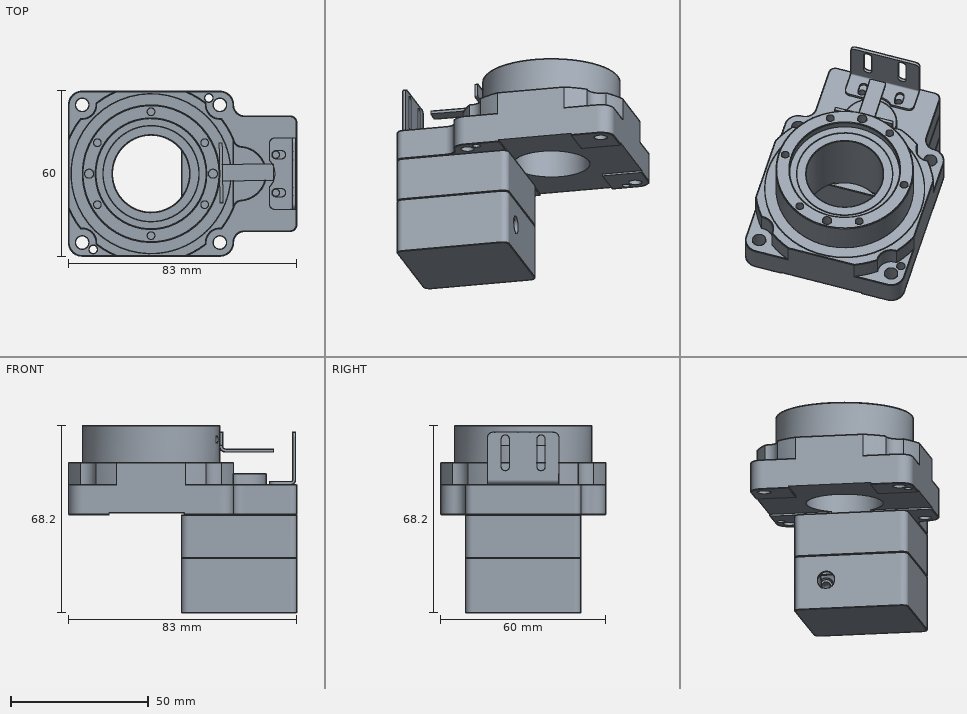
import cadquery as cq
import math


FLANGE_SIDE = 60.0
HALF_FLANGE = FLANGE_SIDE / 2
FLANGE_TOP = 19.0
STEP_TOP = 11.0
CORNER_RADIUS = 5.0
SHOULDER_RADIUS = 32.5
EDGE_BREAK = 0.25
JOINT_OVERLAP = 1.0
TANGENT_GAP = 0.001

MOUNT_PITCH = 50.0
MOUNT_DIAMETER = 4.8
MOUNT_RELIEF_RADIUS = 5.0
DOWEL_DIAMETER = 3.0
DOWEL_X = 21.0
DOWEL_Y = 27.5

RELIEF_HALF_WIDTH = 15.2
RELIEF_END_X = 12.0
RELIEF_DEPTH = 0.7

DRIVE_SIDE = 42.0
DRIVE_X = 32.0
DRIVE_CORNER_RADIUS = 2.5
DRIVE_JOINT_Z = -15.7
DRIVE_BOTTOM_Z = -35.7
EXTENSION_END_X = DRIVE_X + DRIVE_SIDE / 2
INNER_CORNER_RADIUS = 4.0

CABLE_Y = 9.0
CABLE_Z = -24.9
CABLE_ENTRY_DIAMETER = 6.4
CABLE_LEDGE_DEPTH = 1.0
CABLE_LEDGE_OFFSET = 2.3
CABLE_FUNNEL_DEPTH = 2.0
CABLE_ENTRY_DEPTH = 3.0
CABLE_BORE_Y = CABLE_Y + 0.6
CABLE_BORE_Z = CABLE_Z - 1.5
CABLE_BORE_DIAMETER = 3.1
CABLE_BORE_DEPTH = 8.0
CABLE_FUNNEL_RADIUS = 5.0
CABLE_SEAT_RADIUS = 2.9
CABLE_SEAT_FLOOR_RADIUS = 2.4
CABLE_SEAT_DEPTH = 0.5

COVER_RADIUS = 9.9
COVER_TOP = 15.0
COVER_FILLET = 3.0

RING_RADIUS = 25.0
RING_TOP = 32.5
RING_EDGE_BREAK = 0.3
BORE_RADIUS = 14.0
BORE_EDGE_BREAK = 0.2
RECESS_RADIUS = 20.0
RECESS_DEPTH = 3.0
SEAM_WIDTH = 0.1
SEAM_DEPTH = 0.2
HUB_SEAM_RADIUS = 17.4
FLANGE_SEAM_RADIUS = 29.0

RING_HOLE_CIRCLE = 22.5
RING_SCREW_COUNT = 6
RING_SCREW_START_ANGLE = 30
RING_SCREW_DIAMETER = 2.8
RING_PIN_COUNT = 2
RING_PIN_DIAMETER = 3.3
RING_HOLE_DEPTH = 6.0

SHEET = 1.1
BRACKET_WIDTH = 26.0
BRACKET_START_X = 43.0
BRACKET_END_X = 52.5
BRACKET_TOP = 30.0
BRACKET_CORNER = 2.0
BEND_INNER_RADIUS = 0.5
BASE_SLOT_X = 46.4
BASE_SLOT_Y = 6.9
BASE_SLOT_LENGTH = 5.0
BASE_SLOT_WIDTH = 3.0
BASE_SCREW_X = 45.35
BASE_SCREW_DIAMETER = 2.6
BASE_SCREW_DEPTH = 6.0
PLATE_SLOT_Y = 6.5
PLATE_SLOT_WIDTH = 3.0
PLATE_SLOT_TOP = 29.0
PLATE_SLOT_BOTTOM = 16.0
NOTCH_RADIUS = 6.9
NOTCH_BOTTOM_X = 45.0

FLAG_TURN = 0.75
FLAG_FACE_X = 24.9
FLAG_WIDTH = 21.8
FLAG_TOP = 30.0
FLAG_BOTTOM = 25.1
FLAG_CORNER = 0.5
ARM_WIDTH = 6.0
ARM_BEND_INNER_RADIUS = 1.1
ARM_BOTTOM = 22.8
ARM_END_X = 44.5
FLAG_SCREW_Y = 7.5
FLAG_SCREW_Z = 27.4
FLAG_SCREW_DIAMETER = 2.6
FLAG_SCREW_DEPTH = 5.0


def cylinder(radius, bottom, top):
    return cq.Workplane("XY").workplane(offset=bottom).circle(radius).extrude(top - bottom)


def cylinder_along_x(radius, start, length, y, z):
    return cq.Workplane("YZ", origin=(start, y, z)).circle(radius).extrude(length)


def rounded_block(size_x, size_y, center_x, bottom, top, radius):
    block = cq.Workplane("XY").workplane(offset=bottom).center(center_x, 0)
    return block.rect(size_x, size_y).extrude(top - bottom).edges("|Z").fillet(radius)


def seam_groove(radius, top):
    return cylinder(radius + SEAM_WIDTH, top - SEAM_DEPTH, top).cut(
        cylinder(radius, top - SEAM_DEPTH, top)
    )


def make_base():
    """Lower plate: the square flange and the narrower extension above the drive."""
    half_ext = DRIVE_SIDE / 2
    base = (
        cq.Workplane("XY")
        .moveTo(-HALF_FLANGE, -HALF_FLANGE)
        .lineTo(HALF_FLANGE, -HALF_FLANGE)
        .lineTo(HALF_FLANGE, -half_ext)
        .lineTo(EXTENSION_END_X, -half_ext)
        .lineTo(EXTENSION_END_X, half_ext)
        .lineTo(HALF_FLANGE, half_ext)
        .lineTo(HALF_FLANGE, HALF_FLANGE)
        .lineTo(-HALF_FLANGE, HALF_FLANGE)
        .close()
        .extrude(STEP_TOP)
    )
    for side in (-1, 1):
        inner = cq.selectors.NearestToPointSelector((HALF_FLANGE, side * half_ext, STEP_TOP / 2))
        base = base.edges(inner).fillet(INNER_CORNER_RADIUS - TANGENT_GAP)
    base = base.edges("|Z and >X").fillet(DRIVE_CORNER_RADIUS)
    for x in (-HALF_FLANGE, HALF_FLANGE):
        for y in (-HALF_FLANGE, HALF_FLANGE):
            corner = cq.selectors.NearestToPointSelector((x, y, STEP_TOP / 2))
            base = base.edges(corner).fillet(CORNER_RADIUS - TANGENT_GAP)
    return base.faces("<Z or >Z").edges().chamfer(EDGE_BREAK)


def make_shoulder():
    """Upper part of the flange: square and circle intersected, scooped at the screws."""
    foot = STEP_TOP - JOINT_OVERLAP
    height = FLANGE_TOP - foot
    shoulder = (
        cq.Workplane("XY").workplane(offset=foot)
        .rect(FLANGE_SIDE, FLANGE_SIDE).extrude(height)
        .intersect(cylinder(SHOULDER_RADIUS, foot, FLANGE_TOP))
    )
    scoops = (
        cq.Workplane("XY").workplane(offset=foot)
        .rect(MOUNT_PITCH, MOUNT_PITCH, forConstruction=True).vertices()
        .circle(MOUNT_RELIEF_RADIUS).extrude(height)
    )
    return shoulder.cut(scoops).faces(">Z").edges().chamfer(EDGE_BREAK)


def make_drive():
    """Two stacked square housings with broken edges at every joint."""
    drive = None
    for bottom, top in ((DRIVE_BOTTOM_Z, DRIVE_JOINT_Z), (DRIVE_JOINT_Z, 0)):
        stage = rounded_block(DRIVE_SIDE, DRIVE_SIDE, DRIVE_X, bottom, top, DRIVE_CORNER_RADIUS)
        stage = stage.faces("<Z or >Z").edges().chamfer(EDGE_BREAK)
        drive = stage if drive is None else drive.union(stage)
    return drive.cut(make_cable_entry())


def make_cable_entry():
    """Stepped cable opening in the side of the lower housing."""
    face_x = DRIVE_X - DRIVE_SIDE / 2
    radius = CABLE_ENTRY_DIAMETER / 2
    mouth = cylinder_along_x(radius, face_x, CABLE_LEDGE_DEPTH, CABLE_Y, CABLE_Z)
    reach = CABLE_BORE_DEPTH + CABLE_BORE_DIAMETER
    shaft = cylinder_along_x(radius, face_x, reach, CABLE_Y, CABLE_Z)
    side = CABLE_ENTRY_DIAMETER
    window = cq.Workplane("XY").box(reach, side, side, centered=False).translate(
        (face_x, CABLE_Y + CABLE_LEDGE_OFFSET - side, CABLE_Z + CABLE_LEDGE_OFFSET - side)
    )
    throat = shaft.intersect(window)
    seat = (
        cq.Workplane("XY")
        .moveTo(face_x, 0)
        .lineTo(face_x, CABLE_FUNNEL_RADIUS)
        .lineTo(face_x + CABLE_FUNNEL_DEPTH, CABLE_FUNNEL_RADIUS)
        .lineTo(face_x + CABLE_ENTRY_DEPTH, CABLE_SEAT_RADIUS)
        .lineTo(face_x + CABLE_ENTRY_DEPTH + CABLE_SEAT_DEPTH, CABLE_SEAT_FLOOR_RADIUS)
        .lineTo(face_x + CABLE_ENTRY_DEPTH + CABLE_SEAT_DEPTH, 0)
        .close()
        .revolve(360, (0, 0, 0), (1, 0, 0))
        .translate((0, CABLE_BORE_Y, CABLE_BORE_Z))
    )
    bore_radius = CABLE_BORE_DIAMETER / 2
    bore = cylinder_along_x(bore_radius, face_x, CABLE_BORE_DEPTH, CABLE_BORE_Y, CABLE_BORE_Z)
    bore_end = cq.Workplane("XY").sphere(bore_radius).translate(
        (face_x + CABLE_BORE_DEPTH, CABLE_BORE_Y, CABLE_BORE_Z)
    )
    return mouth.union(throat.intersect(seat)).union(throat.intersect(bore.union(bore_end)))


def make_cover():
    """Round gear cover that blends into the flange side through concave fillets."""
    fillet_x = HALF_FLANGE + COVER_FILLET
    reach = COVER_RADIUS + COVER_FILLET
    fillet_y = math.sqrt(reach**2 - (fillet_x - DRIVE_X) ** 2)
    tangent_x = DRIVE_X + (fillet_x - DRIVE_X) * COVER_RADIUS / reach
    tangent_y = fillet_y * COVER_RADIUS / reach
    start_angle = math.pi
    end_angle = math.atan2(tangent_y - fillet_y, tangent_x - fillet_x) % (2 * math.pi)
    middle_angle = (start_angle + end_angle) / 2
    middle_x = fillet_x + COVER_FILLET * math.cos(middle_angle)
    middle_y = fillet_y + COVER_FILLET * math.sin(middle_angle)
    root_x = HALF_FLANGE - JOINT_OVERLAP
    cover = (
        cq.Workplane("XY")
        .workplane(offset=STEP_TOP - JOINT_OVERLAP)
        .moveTo(root_x, -fillet_y)
        .lineTo(HALF_FLANGE, -fillet_y)
        .threePointArc((middle_x, -middle_y), (tangent_x, -tangent_y))
        .threePointArc((DRIVE_X + COVER_RADIUS, 0), (tangent_x, tangent_y))
        .threePointArc((middle_x, middle_y), (HALF_FLANGE, fillet_y))
        .lineTo(root_x, fillet_y)
        .close()
        .extrude(COVER_TOP - STEP_TOP + JOINT_OVERLAP)
    )
    return cover.faces(">Z").edges("not <X").edges("not |X").edges("not |Y").chamfer(EDGE_BREAK)


def make_ring():
    """Rotating ring standing on the flange, with a round recess in its top."""
    ring = cylinder(RING_RADIUS, STEP_TOP, RING_TOP)
    ring = ring.cut(cylinder(RECESS_RADIUS, RING_TOP - RECESS_DEPTH, RING_TOP))
    return ring.faces(">Z").edges().chamfer(RING_EDGE_BREAK)


def make_central_bore():
    """Through bore with a small chamfer at its upper mouth; the drive closes part of its foot."""
    mouth_z = RING_TOP - RECESS_DEPTH
    wide = BORE_RADIUS + BORE_EDGE_BREAK
    return (
        cq.Workplane("XZ")
        .moveTo(0, 0)
        .lineTo(BORE_RADIUS, 0)
        .lineTo(BORE_RADIUS, mouth_z - BORE_EDGE_BREAK)
        .lineTo(wide, mouth_z)
        .lineTo(0, mouth_z)
        .close()
        .revolve(360, (0, 0, 0), (0, 1, 0))
    )


def make_flange_holes():
    """Four mounting holes and two dowel holes through the corner pads."""
    mounts = (
        cq.Workplane("XY").rect(MOUNT_PITCH, MOUNT_PITCH, forConstruction=True).vertices()
        .circle(MOUNT_DIAMETER / 2).extrude(STEP_TOP)
    )
    dowels = (
        cq.Workplane("XY").pushPoints([(DOWEL_X, DOWEL_Y), (-DOWEL_X, -DOWEL_Y)])
        .circle(DOWEL_DIAMETER / 2).extrude(STEP_TOP)
    )
    return mounts.union(dowels)


def make_ring_holes():
    """Six screw holes and two pin holes, all on one circle in the ring face."""
    face = cq.Workplane("XY").workplane(offset=RING_TOP - RING_HOLE_DEPTH)
    screws = (
        face.polarArray(RING_HOLE_CIRCLE, RING_SCREW_START_ANGLE, 360, RING_SCREW_COUNT)
        .circle(RING_SCREW_DIAMETER / 2).extrude(RING_HOLE_DEPTH)
    )
    pins = (
        face.polarArray(RING_HOLE_CIRCLE, 0, 360, RING_PIN_COUNT)
        .circle(RING_PIN_DIAMETER / 2).extrude(RING_HOLE_DEPTH)
    )
    return screws.union(pins)


def make_underside_channels():
    """Crossed shallow channels that leave the underside standing on pads."""
    width = 2 * RELIEF_HALF_WIDTH
    lengthwise = cq.Workplane("XY").box(
        HALF_FLANGE + RELIEF_END_X, width, RELIEF_DEPTH, centered=(False, True, False)
    ).translate((-HALF_FLANGE, 0, 0))
    crosswise = cq.Workplane("XY").box(
        RELIEF_HALF_WIDTH + RELIEF_END_X, FLANGE_SIDE, RELIEF_DEPTH, centered=(False, True, False)
    ).translate((-RELIEF_HALF_WIDTH, 0, 0))
    return lengthwise.union(crosswise)


def make_sensor_bracket():
    """L-shaped sheet bracket with two slots in each leg and a notched front edge."""
    plate_x = BRACKET_END_X - SHEET
    half = BRACKET_WIDTH / 2
    bracket = (
        cq.Workplane("XZ", origin=(0, half, 0))
        .moveTo(BRACKET_START_X, STEP_TOP)
        .lineTo(BRACKET_END_X, STEP_TOP)
        .lineTo(BRACKET_END_X, BRACKET_TOP)
        .lineTo(plate_x, BRACKET_TOP)
        .lineTo(plate_x, STEP_TOP + SHEET)
        .lineTo(BRACKET_START_X, STEP_TOP + SHEET)
        .close()
        .extrude(BRACKET_WIDTH)
    )
    outer_bend = cq.selectors.NearestToPointSelector((BRACKET_END_X, 0, STEP_TOP))
    inner_bend = cq.selectors.NearestToPointSelector((plate_x, 0, STEP_TOP + SHEET))
    bracket = bracket.edges(inner_bend).fillet(BEND_INNER_RADIUS)
    bracket = bracket.edges(outer_bend).fillet(BEND_INNER_RADIUS + SHEET)
    bracket = bracket.edges("|Z and <X").fillet(BRACKET_CORNER)
    bracket = bracket.edges("|X and >Z").fillet(BRACKET_CORNER)

    base_slots = (
        cq.Workplane("XY").workplane(offset=STEP_TOP)
        .pushPoints([(BASE_SLOT_X, BASE_SLOT_Y), (BASE_SLOT_X, -BASE_SLOT_Y)])
        .slot2D(BASE_SLOT_LENGTH, BASE_SLOT_WIDTH).extrude(SHEET)
    )
    plate_slot_z = (PLATE_SLOT_TOP + PLATE_SLOT_BOTTOM) / 2
    plate_slots = (
        cq.Workplane("YZ", origin=(plate_x, 0, 0))
        .pushPoints([(PLATE_SLOT_Y, plate_slot_z), (-PLATE_SLOT_Y, plate_slot_z)])
        .slot2D(PLATE_SLOT_TOP - PLATE_SLOT_BOTTOM, PLATE_SLOT_WIDTH, 90).extrude(SHEET)
    )
    notch = cylinder(NOTCH_RADIUS, STEP_TOP, STEP_TOP + SHEET)
    notch = notch.translate((NOTCH_BOTTOM_X - NOTCH_RADIUS, 0, 0))
    return bracket.cut(base_slots).cut(plate_slots).cut(notch)


def make_bracket_screw_holes():
    """Blind holes in the extension under the base slots of the sensor bracket."""
    return (
        cq.Workplane("XY").workplane(offset=STEP_TOP - BASE_SCREW_DEPTH)
        .pushPoints([(BASE_SCREW_X, BASE_SLOT_Y), (BASE_SCREW_X, -BASE_SLOT_Y)])
        .circle(BASE_SCREW_DIAMETER / 2).extrude(BASE_SCREW_DEPTH)
    )


def make_sensor_flag():
    """Sheet flag: a wide plate against the ring and a narrow arm bent outwards."""
    plate = (
        cq.Workplane("XY")
        .box(SHEET, FLAG_WIDTH, FLAG_TOP - FLAG_BOTTOM, centered=(False, True, False))
        .translate((FLAG_FACE_X, 0, FLAG_BOTTOM))
        .edges("|X").fillet(FLAG_CORNER)
    )
    outer_x = FLAG_FACE_X + SHEET
    arm_top = ARM_BOTTOM + SHEET
    arm = (
        cq.Workplane("XZ", origin=(0, ARM_WIDTH / 2, 0))
        .moveTo(FLAG_FACE_X, FLAG_TOP)
        .lineTo(FLAG_FACE_X, ARM_BOTTOM)
        .lineTo(ARM_END_X, ARM_BOTTOM)
        .lineTo(ARM_END_X, arm_top)
        .lineTo(outer_x, arm_top)
        .lineTo(outer_x, FLAG_TOP)
        .close()
        .extrude(ARM_WIDTH)
    )
    inner_bend = cq.selectors.NearestToPointSelector((outer_x, 0, arm_top))
    outer_bend = cq.selectors.NearestToPointSelector((FLAG_FACE_X, 0, ARM_BOTTOM))
    arm = arm.edges(inner_bend).fillet(ARM_BEND_INNER_RADIUS)
    arm = arm.edges(outer_bend).fillet(ARM_BEND_INNER_RADIUS + SHEET)
    arm = arm.edges("|Z and >X").fillet(FLAG_CORNER)
    return plate.union(arm).rotate((0, 0, 0), (0, 0, 1), FLAG_TURN)


def make_flag_screw_holes():
    """Blind holes in the ring behind the flag plate."""
    holes = cq.Workplane("XY")
    for side in (-1, 1):
        hole = cylinder_along_x(
            FLAG_SCREW_DIAMETER / 2,
            FLAG_FACE_X - FLAG_SCREW_DEPTH,
            FLAG_SCREW_DEPTH,
            side * FLAG_SCREW_Y,
            FLAG_SCREW_Z,
        )
        holes = holes.add(hole)
    return holes.combine().rotate((0, 0, 0), (0, 0, 1), FLAG_TURN)


body = make_base().union(make_shoulder()).union(make_cover()).union(make_ring())
body = body.cut(make_underside_channels()).cut(make_central_bore())
body = body.cut(make_flange_holes()).cut(make_ring_holes())
body = body.cut(make_flag_screw_holes()).cut(make_bracket_screw_holes())
body = body.cut(seam_groove(FLANGE_SEAM_RADIUS, FLANGE_TOP))
body = body.cut(seam_groove(HUB_SEAM_RADIUS, RING_TOP - RECESS_DEPTH))
result = body.union(make_drive()).union(make_sensor_bracket()).union(make_sensor_flag())